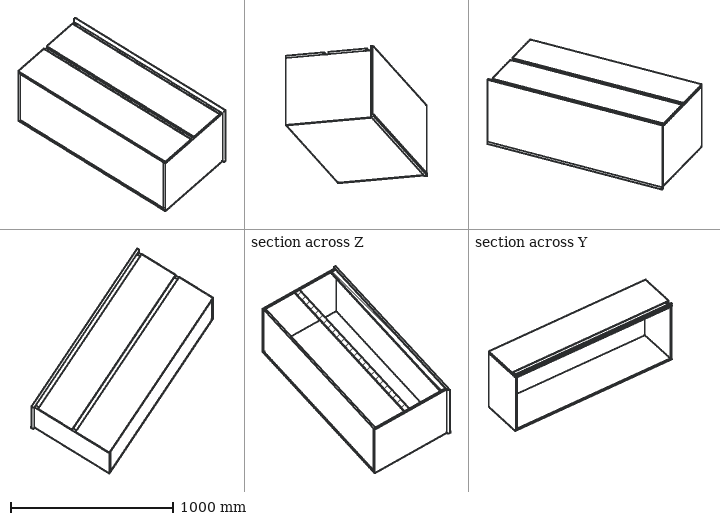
import cadquery as cq

WIDTH = 1210.0
DEPTH = 569.0
HEIGHT = 460.0

BOARD = 16.0
END_OVERHANG = 12.0
FRONT_OVERHANG = 10.0
CABINET_WIDTH = WIDTH - 2 * END_OVERHANG
INNER_WIDTH = CABINET_WIDTH - 2 * BOARD
CARCASS_HEIGHT = HEIGHT - FRONT_OVERHANG - BOARD
BACK_THICKNESS = 18.0

LIP_RISE = 5.0
LIP_WIDTH = 15.0
WORKTOP_THICKNESS = 15.0
EDGE_FILLET = 2.0
CARCASS_DEPTH = DEPTH - LIP_RISE - WORKTOP_THICKNESS

DRAWER_COUNT = 2
FRONT_GAP = 27.0
FRONT_DEPTH = CARCASS_DEPTH / DRAWER_COUNT - FRONT_GAP
GRIP_BEVEL = 12.0


def block(x_size, y_start, y_size, z_start, z_size):
    """Box centred on X = 0 that starts at the given Y and Z."""
    box = cq.Workplane("XY").box(x_size, y_size, z_size, centered=(True, False, False))
    return box.translate((0, y_start, z_start))


def side_panel(direction):
    panel = block(BOARD, 0, CARCASS_DEPTH, 0, CARCASS_HEIGHT)
    return panel.translate((direction * (CABINET_WIDTH - BOARD) / 2, 0, 0))


def back_panel():
    return block(INNER_WIDTH, 0, CARCASS_DEPTH, 0, BACK_THICKNESS)


def bottom_panel():
    return block(INNER_WIDTH, 0, BOARD, BACK_THICKNESS, CARCASS_HEIGHT - BACK_THICKNESS)


def finger_rail(gap_start):
    """Rail that closes a finger gap from behind, flush with the side panels."""
    return block(INNER_WIDTH, gap_start - GRIP_BEVEL, FRONT_GAP + GRIP_BEVEL, CARCASS_HEIGHT - BOARD, BOARD)


def drawer_front(y_start):
    y_end = y_start + FRONT_DEPTH
    z_top = CARCASS_HEIGHT + BOARD
    profile = [
        (y_start, CARCASS_HEIGHT),
        (y_end - GRIP_BEVEL, CARCASS_HEIGHT),
        (y_end, CARCASS_HEIGHT + GRIP_BEVEL),
        (y_end, z_top),
        (y_start, z_top),
    ]
    return cq.Workplane("YZ").polyline(profile).close().extrude(CABINET_WIDTH / 2, both=True)


def worktop():
    """Slab with a raised lip along its back edge, eased on its underside and along the top of the lip."""
    slab = block(WIDTH, CARCASS_DEPTH, WORKTOP_THICKNESS, 0, HEIGHT)
    lip = block(WIDTH, DEPTH - LIP_RISE, LIP_RISE, 0, LIP_WIDTH)
    top = slab.union(lip)
    for face in ("<Y", ">Y"):
        top = top.faces(face).edges(">Z or <X or >X").fillet(EDGE_FILLET)
    return top


side_panels = [side_panel(direction) for direction in (-1, 1)]
row_starts = [row * (FRONT_DEPTH + FRONT_GAP) for row in range(DRAWER_COUNT)]
drawer_fronts = [drawer_front(y_start) for y_start in row_starts]
finger_rails = [finger_rail(y_start + FRONT_DEPTH) for y_start in row_starts]

result = cq.Compound.makeCompound([
    *[panel.val() for panel in side_panels],
    back_panel().val(),
    bottom_panel().val(),
    *[rail.val() for rail in finger_rails],
    *[front.val() for front in drawer_fronts],
    worktop().val(),
])